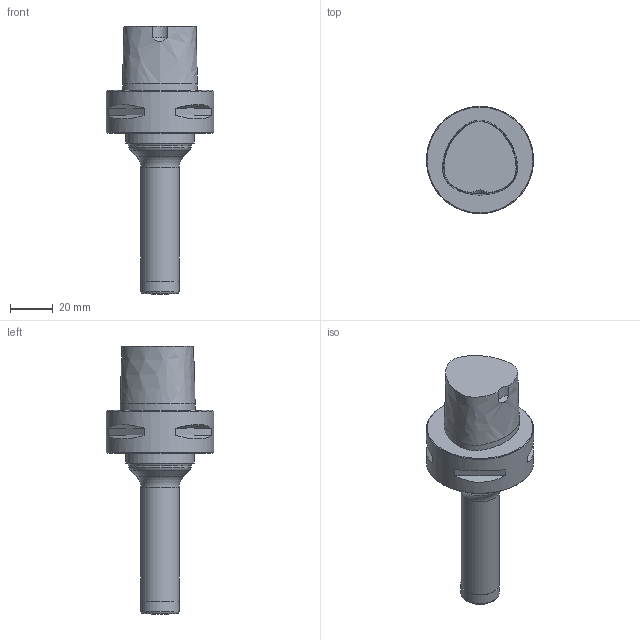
import cadquery as cq
import math

COUPLING_HEIGHT = 30.0
COUPLING_STRAIGHT = 3.0
FLANGE_HEIGHT = 20.0
COLLAR_HEIGHT = 5.0
TIP_TOP_Z = -89.0
TIP_BOTTOM_Z = -95.0

FLANGE_RADIUS = 25.0
COLLAR_RADIUS = 16.0
SHOULDER_RADIUS = 14.5
SHANK_RADIUS = 17.9 / 2
TIP_RADIUS = 9.1
FLANGE_CHAMFER = 0.35
COLLAR_CHAMFER = 0.4
TIP_CHAMFER_WIDTH = 0.4
TIP_CHAMFER_HEIGHT = 0.8
TIP_CONE_HEIGHT = 0.3
TIP_FLAT_RADIUS = 3.75

COUPLING_WIDTH = 35.0
COUPLING_ECCENTRICITY = 1.12
COUPLING_TAPER = 1 / 20
PROFILE_SAMPLES = 72

RELIEF_HEIGHT = 0.9
RELIEF_FLARE = 0.4
RIM_HEIGHT = 0.6
RIM_EDGE_RADIUS = 2.0
SHOULDER_FILLET_RADIUS = 7.5

NOTCH_RADIUS = 4.75
NOTCH_INNER_Y = -14.05
NOTCH_DEPTH = 5.5

GROOVE_COUNT = 4
GROOVE_Z = -FLANGE_HEIGHT / 2
GROOVE_FLOOR_DISTANCE = 22.1
GROOVE_FLOOR_WIDTH = 3.4
GROOVE_SIDE_ANGLE = 30.0


def revolve_about_z(profile):
    """Full turn of a closed XZ profile about the Z axis."""
    return profile.revolve(360, (0, 0, 0), (0, 1, 0))


def coupling_wire(width, z):
    """Three-lobed profile of constant width, one lobe toward +Y."""

    def point(t):
        e = COUPLING_ECCENTRICITY
        x = width / 2 * math.cos(t) - 2 * e * math.cos(2 * t) + e * math.cos(4 * t)
        y = width / 2 * math.sin(t) + 2 * e * math.sin(2 * t) + e * math.sin(4 * t)
        return (y, -x)

    return cq.Workplane("XY").workplane(offset=z).parametricCurve(
        lambda u: point(2 * math.pi * u), N=PROFILE_SAMPLES
    ).val()


def make_coupling():
    top_width = COUPLING_WIDTH - COUPLING_TAPER * (COUPLING_HEIGHT - COUPLING_STRAIGHT)
    base = coupling_wire(COUPLING_WIDTH, 0)
    middle = coupling_wire(COUPLING_WIDTH, COUPLING_STRAIGHT)
    top = coupling_wire(top_width, COUPLING_HEIGHT)
    straight = cq.Solid.makeLoft([base, middle], True)
    tapered = cq.Solid.makeLoft([middle, top], True)
    return cq.Workplane(straight).union(cq.Workplane(tapered))


def make_notch():
    """Upright round cutter with a 90 degree conical point, its axis outside the coupling."""
    floor_z = COUPLING_HEIGHT - NOTCH_DEPTH
    profile = (
        cq.Workplane("XZ")
        .moveTo(0, COUPLING_HEIGHT)
        .lineTo(NOTCH_RADIUS, COUPLING_HEIGHT)
        .lineTo(NOTCH_RADIUS, floor_z)
        .lineTo(0, floor_z - NOTCH_RADIUS)
        .close()
    )
    return revolve_about_z(profile).translate((0, NOTCH_INNER_Y - NOTCH_RADIUS, 0))


def make_turned_body():
    """Flange, collar, shoulder and shank as one revolved profile."""
    collar_top = -FLANGE_HEIGHT
    collar_bottom = collar_top - COLLAR_HEIGHT
    rim_top = collar_bottom - RELIEF_HEIGHT
    edge_top = rim_top - RIM_HEIGHT
    sin45 = math.sqrt(0.5)
    sin22 = math.sin(math.pi / 8)
    cos22 = math.cos(math.pi / 8)

    edge_x = SHOULDER_RADIUS - RIM_EDGE_RADIUS
    edge_mid = (edge_x + RIM_EDGE_RADIUS * cos22, edge_top - RIM_EDGE_RADIUS * sin22)
    edge_end = (edge_x + RIM_EDGE_RADIUS * sin45, edge_top - RIM_EDGE_RADIUS * sin45)

    fillet_x = SHANK_RADIUS + SHOULDER_FILLET_RADIUS
    fillet_start_x = fillet_x - SHOULDER_FILLET_RADIUS * sin45
    fillet_start_z = edge_end[1] - (edge_end[0] - fillet_start_x)
    shoulder_bottom = fillet_start_z - SHOULDER_FILLET_RADIUS * sin45
    fillet_mid = (
        fillet_x - SHOULDER_FILLET_RADIUS * cos22,
        shoulder_bottom + SHOULDER_FILLET_RADIUS * sin22,
    )

    profile = (
        cq.Workplane("XZ")
        .lineTo(FLANGE_RADIUS - FLANGE_CHAMFER, 0)
        .lineTo(FLANGE_RADIUS, -FLANGE_CHAMFER)
        .lineTo(FLANGE_RADIUS, collar_top + FLANGE_CHAMFER)
        .lineTo(FLANGE_RADIUS - FLANGE_CHAMFER, collar_top)
        .lineTo(COLLAR_RADIUS, collar_top)
        .lineTo(COLLAR_RADIUS, collar_bottom + COLLAR_CHAMFER)
        .lineTo(COLLAR_RADIUS - COLLAR_CHAMFER, collar_bottom)
        .lineTo(SHOULDER_RADIUS + RELIEF_FLARE, collar_bottom)
        .lineTo(SHOULDER_RADIUS, rim_top)
        .lineTo(SHOULDER_RADIUS, edge_top)
        .threePointArc(edge_mid, edge_end)
        .lineTo(fillet_start_x, fillet_start_z)
        .threePointArc(fillet_mid, (SHANK_RADIUS, shoulder_bottom))
        .lineTo(SHANK_RADIUS, TIP_TOP_Z)
        .lineTo(0, TIP_TOP_Z)
        .close()
    )
    return revolve_about_z(profile)


def make_groove():
    """Straight trapezoidal cutter, flaring outward, on the +X side of the flange."""
    depth = FLANGE_RADIUS - GROOVE_FLOOR_DISTANCE
    half_floor = GROOVE_FLOOR_WIDTH / 2
    half_mouth = half_floor + depth * math.tan(math.radians(GROOVE_SIDE_ANGLE))
    return (
        cq.Workplane("XZ")
        .moveTo(GROOVE_FLOOR_DISTANCE, GROOVE_Z - half_floor)
        .lineTo(FLANGE_RADIUS, GROOVE_Z - half_mouth)
        .lineTo(FLANGE_RADIUS, GROOVE_Z + half_mouth)
        .lineTo(GROOVE_FLOOR_DISTANCE, GROOVE_Z + half_floor)
        .close()
        .extrude(FLANGE_RADIUS, both=True)
    )


def make_holder():
    holder = make_turned_body().union(make_coupling()).cut(make_notch())
    step = 360 / GROOVE_COUNT
    for index in range(GROOVE_COUNT):
        angle = step / 2 + index * step
        holder = holder.cut(make_groove().rotate((0, 0, 0), (0, 0, 1), angle))
    return holder


def make_tip():
    """Round tip below the shank: chamfered edge, shallow conical end and a small flat."""
    cone_top = TIP_BOTTOM_Z + TIP_CONE_HEIGHT
    profile = (
        cq.Workplane("XZ")
        .moveTo(0, TIP_TOP_Z)
        .lineTo(TIP_RADIUS, TIP_TOP_Z)
        .lineTo(TIP_RADIUS, cone_top + TIP_CHAMFER_HEIGHT)
        .lineTo(TIP_RADIUS - TIP_CHAMFER_WIDTH, cone_top)
        .lineTo(TIP_FLAT_RADIUS, TIP_BOTTOM_Z)
        .lineTo(0, TIP_BOTTOM_Z)
        .close()
    )
    return revolve_about_z(profile)


holder = make_holder()
tip = make_tip()
result = cq.Compound.makeCompound([holder.val(), tip.val()])